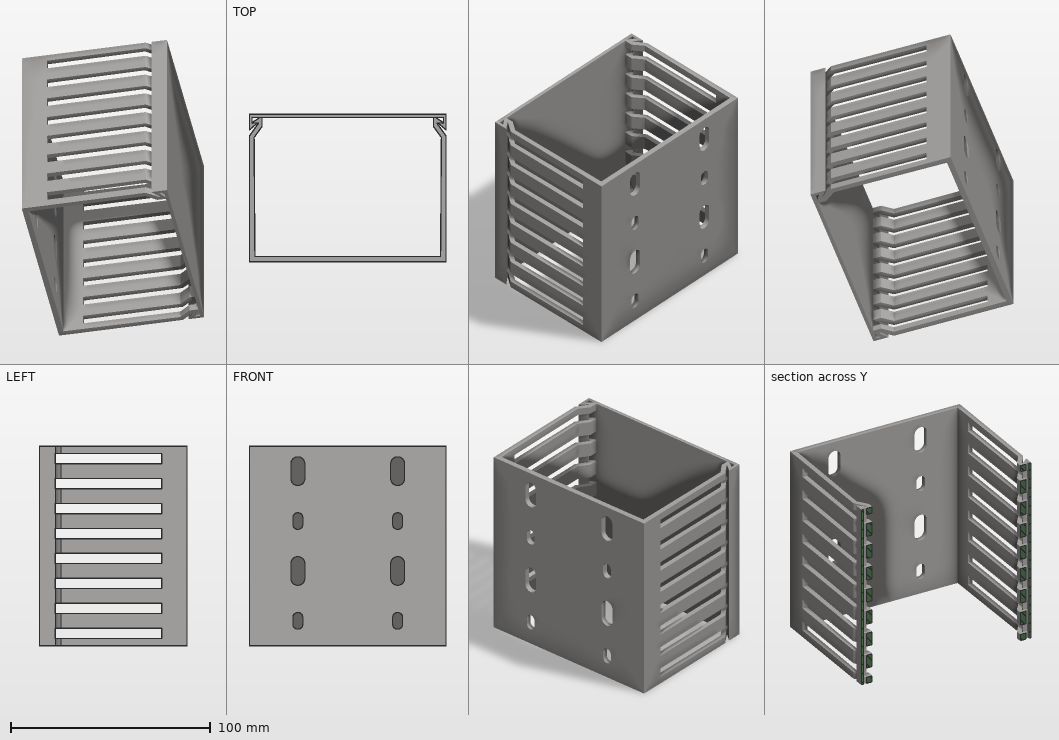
import cadquery as cq

length = 100.0
width = 98.5
depth = 74.1
half_width = width / 2

lid_thickness = 1.8
lid_underside_y = depth - lid_thickness
lid_rim_thickness = 1.4
lid_rim_depth = 8.0
lid_lip_reach = 3.9

ledge_depth = 4.6
ledge_y = depth - ledge_depth

base_thickness = 2.8
wall_foot_thickness = 2.8
wall_top_thickness = 2.4

outer_bend_y = 63.2
neck_inset = 4.5
barb_tip_inset = 1.6
barb_tip_height = 0.5
barb_top_outer_inset = 5.0
barb_inner_inset = 6.4
barb_inner_y = 67.9
inner_bend_y = 62.4

finger_slot_count = 8
finger_slot_pitch = length / finger_slot_count
finger_slot_width = 5.0
finger_slot_floor_y = 12.8

mount_x = 25.0
mount_pitch = 50.0
large_slot_length = 14.4
large_slot_width = 7.0
large_slot_top_z = 37.5
small_slot_length = 8.4
small_slot_width = 5.0
small_slot_top_z = 12.5


def extrude_symmetric(left_half):
    """Join the -X half of an outline to its mirror image and extrude it along the whole length."""
    right_half = [(-x, y) for x, y in reversed(left_half)]
    outline = cq.Workplane("XY").polyline(left_half + right_half).close()
    return outline.extrude(length / 2, both=True)


def make_lid():
    rim_inner_x = -half_width + lid_rim_thickness
    return extrude_symmetric([
        (rim_inner_x, lid_underside_y),
        (rim_inner_x, ledge_y),
        (-half_width + lid_lip_reach, ledge_y),
        (-half_width, depth - lid_rim_depth),
        (-half_width, depth),
    ])


def make_duct_shell():
    inset_outline = [
        (wall_foot_thickness, base_thickness),
        (wall_top_thickness, inner_bend_y),
        (barb_inner_inset, barb_inner_y),
        (barb_inner_inset, lid_underside_y),
        (barb_top_outer_inset, lid_underside_y),
        (barb_tip_inset, ledge_y + barb_tip_height),
        (barb_tip_inset, ledge_y),
        (neck_inset, ledge_y),
        (0, outer_bend_y),
        (0, 0),
    ]
    return extrude_symmetric([(inset - half_width, y) for inset, y in inset_outline])


def make_finger_slots():
    """Bars across the full width, open towards the lid."""
    middle_index = (finger_slot_count - 1) / 2
    centres = [(0, (i - middle_index) * finger_slot_pitch) for i in range(finger_slot_count)]
    return (
        cq.Workplane("XZ", origin=(0, finger_slot_floor_y, 0))
        .pushPoints(centres)
        .rect(width, finger_slot_width)
        .extrude(finger_slot_floor_y - depth)
    )


def make_mount_slots(slot_length, slot_width, top_z):
    """Two rows of two upright slots through the base."""
    centres = [(x, z) for x in (-mount_x, mount_x) for z in (top_z, top_z - mount_pitch)]
    return (
        cq.Workplane("XZ")
        .pushPoints(centres)
        .slot2D(slot_length, slot_width, 90)
        .extrude(-base_thickness)
    )


def make_duct():
    return (
        make_duct_shell()
        .cut(make_finger_slots())
        .cut(make_mount_slots(large_slot_length, large_slot_width, large_slot_top_z))
        .cut(make_mount_slots(small_slot_length, small_slot_width, small_slot_top_z))
    )


lid = make_lid()
duct = make_duct()

result = cq.Compound.makeCompound([lid.val(), duct.val()])